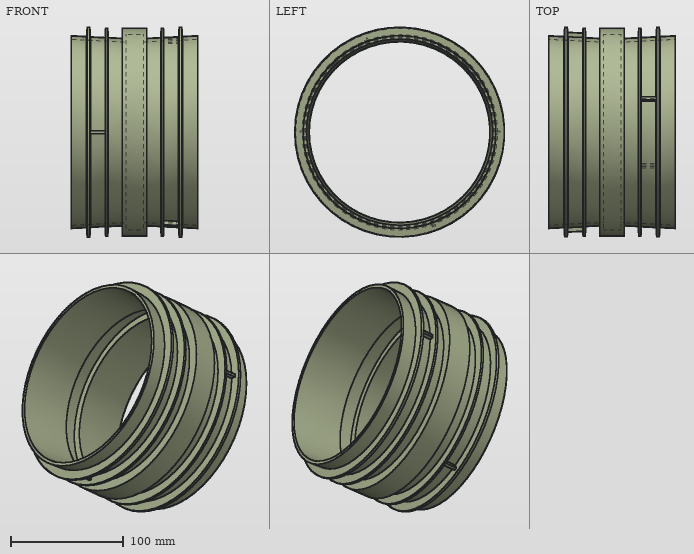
import cadquery as cq

length = 113.0
half_length = length / 2
end_outer_radius = 86.0
middle_outer_radius = 83.1
wall = 3.0

band_width = 22.0
band_radius = 185.7 / 2
groove_width = 16.0
groove_radius = 174.3 / 2

outer_ring_x = 41.0
outer_ring_radius = 187.08 / 2
outer_ring_tip = 2.4
outer_ring_base = 3.6
inner_ring_x = 24.8
inner_ring_radius = band_radius
inner_ring_tip = 2.0
inner_ring_base = 3.0

rib_thickness = 2.8
rib_height = 4.0
left_rib_angle = 0.0
right_rib_angle = 70.0


def outer_radius_at(x):
    """Outer radius of the flared pipe at a distance x from the middle."""
    return middle_outer_radius + (end_outer_radius - middle_outer_radius) * abs(x) / half_length


def revolve_about_x(points):
    """Solid of revolution of a closed (x, radius) outline."""
    return cq.Workplane("XY").polyline(points).close().revolve(360, (0, 0, 0), (1, 0, 0))


def make_flared_solid(end_radius, middle_radius):
    return revolve_about_x([
        (-half_length, 0),
        (-half_length, end_radius),
        (0, middle_radius),
        (half_length, end_radius),
        (half_length, 0),
    ])


def make_cylinder(radius, width):
    return cq.Workplane("YZ", origin=(-width / 2, 0, 0)).circle(radius).extrude(width)


def make_ring(x, tip_radius, tip_width, base_width):
    """Ring at x whose flanks narrow from the pipe surface to the tip; its foot is sunk into the wall."""
    surface_radius = outer_radius_at(x)
    foot_radius = surface_radius - wall / 2
    return revolve_about_x([
        (x - base_width / 2, foot_radius),
        (x - base_width / 2, surface_radius),
        (x - tip_width / 2, tip_radius),
        (x + tip_width / 2, tip_radius),
        (x + base_width / 2, surface_radius),
        (x + base_width / 2, foot_radius),
    ])


def make_rib_pair(side, angle):
    """Two opposite ribs between the rings on one side; their tops follow the flare of the pipe."""
    rib_length = outer_ring_x - inner_ring_x
    bar_length = 2 * outer_ring_radius
    bar = (
        cq.Workplane("XY")
        .box(rib_length, bar_length, rib_thickness)
        .translate((side * (inner_ring_x + outer_ring_x) / 2, 0, 0))
        .rotate((0, 0, 0), (1, 0, 0), angle)
    )
    envelope = make_flared_solid(end_outer_radius + rib_height, middle_outer_radius + rib_height)
    return bar.intersect(envelope)


body = make_flared_solid(end_outer_radius, middle_outer_radius)
body = body.union(make_cylinder(band_radius, band_width))
for side in (-1, 1):
    body = body.union(make_ring(side * outer_ring_x, outer_ring_radius, outer_ring_tip, outer_ring_base))
    body = body.union(make_ring(side * inner_ring_x, inner_ring_radius, inner_ring_tip, inner_ring_base))
body = body.union(make_rib_pair(-1, left_rib_angle))
body = body.union(make_rib_pair(1, right_rib_angle))

bore = make_flared_solid(end_outer_radius - wall, middle_outer_radius - wall)
result = body.cut(bore).cut(make_cylinder(groove_radius, groove_width))